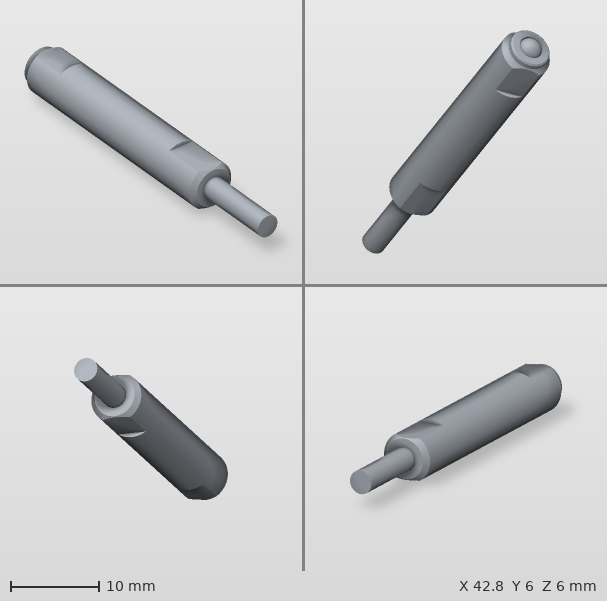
import cadquery as cq
import math

total_length = 42.8
cable_length = 10.0
collar_face_x = 0.8
body_front_x = 1.6
body_rear_x = total_length - cable_length

body_radius = 6.0 / 2
collar_radius = 4.8 / 2
ball_radius = 2.8 / 2
cable_radius = 2.8 / 2
body_chamfer = body_radius - collar_radius
collar_chamfer = 0.15

flat_spacing = 5.0
front_flat_end_x = 6.75
rear_flat_start_x = 26.75


def turned_body():
    """Ball in its bore, collar, chamfered body and cable, revolved about X."""
    arc_offset = ball_radius * math.sqrt(0.5)
    profile = (
        cq.Workplane("XY")
        .moveTo(0, 0)
        .threePointArc((ball_radius - arc_offset, arc_offset), (ball_radius, ball_radius))
        .lineTo(collar_face_x, ball_radius)
        .lineTo(collar_face_x, collar_radius - collar_chamfer)
        .lineTo(collar_face_x + collar_chamfer, collar_radius)
        .lineTo(body_front_x, collar_radius)
        .lineTo(body_front_x + body_chamfer, body_radius)
        .lineTo(body_rear_x - body_chamfer, body_radius)
        .lineTo(body_rear_x, body_radius - body_chamfer)
        .lineTo(body_rear_x, cable_radius)
        .lineTo(total_length, cable_radius)
        .lineTo(total_length, 0)
        .close()
    )
    return profile.revolve(360, (0, 0, 0), (1, 0, 0))


def flat_cutter(start_x, end_x, side):
    """Block that removes the body beyond one flat; side is +1 for top, -1 for bottom."""
    block_height = body_radius
    center = ((start_x + end_x) / 2, 0, side * (flat_spacing + block_height) / 2)
    return cq.Workplane("XY").box(end_x - start_x, 2 * body_radius, block_height).translate(center)


result = turned_body()
for start_x, end_x in ((body_front_x, front_flat_end_x), (rear_flat_start_x, body_rear_x)):
    for side in (1, -1):
        result = result.cut(flat_cutter(start_x, end_x, side))